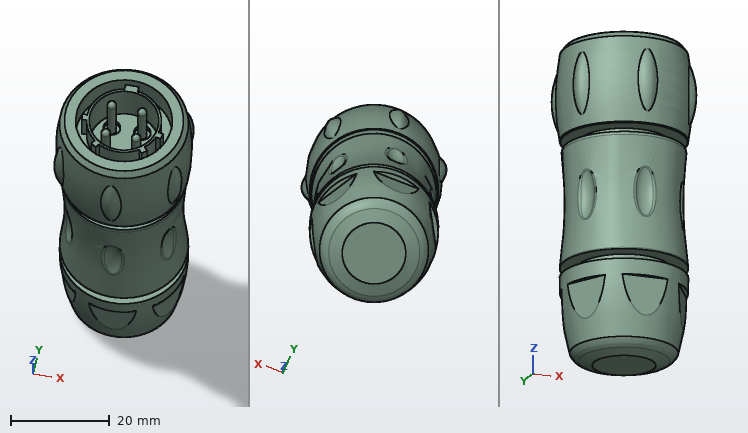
import cadquery as cq
import math

nut_cone_top = 0.9
nut_round_top = 2.55
nut_flat_top = 15.2
nut_top = 18.5
body_bottom = 20.55
body_top = 45.65
ring_bottom = 47.45
ring_top = 67.1
long_pin_top = 68.0
short_pin_top = ring_top + 0.15

nut_end_radius = 6.43
nut_cone_radius = 9.2
nut_side_radius = 13.05
nut_side_curve = 63.0
nut_flat_distance = 12.0
nut_corner_bulge = 0.15
lower_neck_radius = 9.5

body_bottom_radius = 13.0
body_top_radius = 12.65
body_waist_radius = 12.06
body_waist_z = 34.2
body_bottom_band = 0.35
body_top_chamfer_height = 0.6
body_top_chamfer_width = 0.12
upper_neck_radius = 9.18

dimple_z = 33.45
dimple_half_length = 4.95
dimple_half_width = 2.05
dimple_depth = 1.1
dimple_edge_round = 0.7
dimple_clearance = 1.5

ring_end_radius = 13.02
ring_belly_radius = 13.785
ring_belly_z = 57.0
ring_top_chamfer_height = 1.25
ring_top_chamfer_width = 1.0
ring_bottom_chamfer = 0.2
ring_bore_radius = 9.75
ring_bore_depth = 5.4

bump_z = 56.7
bump_peak_radius = 14.83
bump_curve = 16.0
bump_crest_radius = 1.8
bump_flank_slope = 42.0
bump_root_depth = 3.0
bump_half_angle = 28.0

insert_outer_radius = 7.55
insert_inner_radius = 7.03
insert_cavity_depth = 8.5
key_tip_radius = 8.52
wide_key_width = 2.74
narrow_key_width = 1.3
wide_key_angle = 90.0
narrow_key_angles = (185.0, 234.5, 310.0, 345.0)

pin_offset = 3.135
pin_radius = 0.9
pin_recess_radius = 1.73
pin_recess_depth = 1.0

grip_count = 6
grip_angles = [90.0 + i * 360.0 / grip_count for i in range(grip_count)]


def cylinder(radius, bottom, top):
    return cq.Workplane("XY").workplane(offset=bottom).circle(radius).extrude(top - bottom)


def around_axis(shape, angle):
    return shape.rotate((0, 0, 0), (0, 0, 1), angle)


def nut_radius(z):
    """Radius of the bulged nut side, vertical at the top of the nut."""
    drop = nut_side_curve - math.sqrt(nut_side_curve**2 - (nut_top - z) ** 2)
    return nut_side_radius - drop


def cable_nut():
    corner_radius = nut_radius(nut_round_top)
    corner_mid = (
        (nut_cone_radius + corner_radius) / 2 + nut_corner_bulge,
        (nut_cone_top + nut_round_top) / 2 - nut_corner_bulge,
    )
    side_mid_z = (nut_round_top + nut_top) / 2
    nut = (
        cq.Workplane("XZ")
        .moveTo(0, 0)
        .lineTo(nut_end_radius, 0)
        .lineTo(nut_cone_radius, nut_cone_top)
        .threePointArc(corner_mid, (corner_radius, nut_round_top))
        .threePointArc((nut_radius(side_mid_z), side_mid_z), (nut_side_radius, nut_top))
        .lineTo(0, nut_top)
        .close()
        .revolve(360, (0, 0, 0), (0, 1, 0))
    )
    hexagon = (
        cq.Workplane("XY")
        .polygon(grip_count, 2 * nut_flat_distance, circumscribed=True)
        .extrude(nut_flat_top)
    )
    hexagon = around_axis(hexagon, 180.0 / grip_count)
    outside_flats = cylinder(2 * nut_side_radius, 0, nut_flat_top).cut(hexagon)
    return nut.cut(outside_flats)


def dimple_cutter():
    """Scoop facing +X: a tube bent around an axis outside the body."""
    edge_drop = body_waist_radius - math.sqrt(body_waist_radius**2 - dimple_half_width**2)
    tube_depth = dimple_depth - edge_drop
    tube_radius = (dimple_half_width**2 + tube_depth**2) / (2 * tube_depth)
    bend_radius = (dimple_half_length**2 + dimple_depth**2) / (2 * dimple_depth)
    floor_radius = body_waist_radius - dimple_depth
    bend_axis_offset = bend_radius - tube_radius
    half_angle = math.degrees((dimple_half_length + dimple_clearance) / bend_radius)
    tube = (
        cq.Workplane("XY")
        .center(floor_radius + tube_radius, 0)
        .circle(tube_radius)
        .revolve(2 * half_angle, (bend_axis_offset, -1, 0), (bend_axis_offset, 1, 0))
    )
    bend_centre = floor_radius + bend_radius
    return tube.rotate((bend_centre, 0, 0), (bend_centre, 1, 0), -half_angle).translate((0, 0, dimple_z))


def grip_body():
    bottom_edge_z = body_bottom + body_bottom_band
    body = (
        cq.Workplane("XZ")
        .moveTo(0, body_bottom)
        .lineTo(body_bottom_radius, body_bottom)
        .lineTo(body_bottom_radius, bottom_edge_z)
        .threePointArc((body_waist_radius, body_waist_z), (body_top_radius, body_top - body_top_chamfer_height))
        .lineTo(body_top_radius - body_top_chamfer_width, body_top)
        .lineTo(0, body_top)
        .close()
        .revolve(360, (0, 0, 0), (0, 1, 0))
    )
    cutter = dimple_cutter()
    for angle in grip_angles:
        body = body.cut(around_axis(cutter, angle))
    reach = dimple_half_length + dimple_clearance
    side = 2 * body_bottom_radius
    rim_zone = cq.selectors.BoxSelector(
        (-side, -side, dimple_z - reach), (side, side, dimple_z + reach), boundingbox=True
    )
    return body.edges(rim_zone).fillet(dimple_edge_round)


def bump():
    """Bump facing +X: a rounded ridge bent along the ring's length."""
    slope = math.radians(bump_flank_slope)
    crest_half_width = bump_crest_radius * math.sin(slope)
    crest_drop = bump_crest_radius * (1 - math.cos(slope))
    root_half_width = crest_half_width + (bump_root_depth - crest_drop) / math.tan(slope)
    flank_radius = bump_peak_radius - crest_drop
    root_radius = bump_peak_radius - bump_root_depth
    bend_centre = bump_peak_radius - bump_curve
    ridge = (
        cq.Workplane("XY")
        .spline(
            [
                (root_radius, -root_half_width),
                (flank_radius, -crest_half_width),
                (bump_peak_radius, 0),
                (flank_radius, crest_half_width),
                (root_radius, root_half_width),
            ]
        )
        .close()
        .revolve(2 * bump_half_angle, (bend_centre, -1, 0), (bend_centre, 1, 0))
    )
    return ridge.rotate((bend_centre, 0, 0), (bend_centre, 1, 0), -bump_half_angle).translate((0, 0, bump_z))


def coupling_ring():
    ring = (
        cq.Workplane("XZ")
        .moveTo(0, ring_bottom)
        .lineTo(ring_end_radius - ring_bottom_chamfer, ring_bottom)
        .lineTo(ring_end_radius, ring_bottom + ring_bottom_chamfer)
        .threePointArc(
            (ring_belly_radius, ring_belly_z),
            (ring_end_radius, ring_top - ring_top_chamfer_height),
        )
        .lineTo(ring_end_radius - ring_top_chamfer_width, ring_top)
        .lineTo(0, ring_top)
        .close()
        .revolve(360, (0, 0, 0), (0, 1, 0))
    )
    raised = bump()
    for angle in grip_angles:
        ring = ring.union(around_axis(raised, angle))
    return ring.cut(cylinder(ring_bore_radius, ring_top - ring_bore_depth, ring_top))


def insert_key(width, angle):
    root_radius = (insert_inner_radius + insert_outer_radius) / 2
    key = (
        cq.Workplane("XY")
        .workplane(offset=ring_top - ring_bore_depth)
        .center((root_radius + key_tip_radius) / 2, 0)
        .rect(key_tip_radius - root_radius, width)
        .extrude(ring_bore_depth)
    )
    return around_axis(key, angle)


def contact_insert():
    insert = cylinder(insert_outer_radius, ring_top - ring_bore_depth, ring_top)
    insert = insert.union(insert_key(wide_key_width, wide_key_angle))
    for angle in narrow_key_angles:
        insert = insert.union(insert_key(narrow_key_width, angle))
    return insert


def contact_pin(x, y, bottom, top):
    shank_top = top - pin_radius
    dome = cq.Workplane("XY").sphere(pin_radius).translate((0, 0, shank_top))
    return cylinder(pin_radius, bottom, shank_top).union(dome).translate((x, y, 0))


def add_contacts(part):
    cavity_floor = ring_top - insert_cavity_depth
    recess_floor = cavity_floor - pin_recess_depth
    pin_root = recess_floor - pin_radius
    part = part.cut(cylinder(insert_inner_radius, cavity_floor, ring_top))
    for side_x in (-1, 1):
        for side_y in (-1, 1):
            x = side_x * pin_offset
            y = side_y * pin_offset
            is_long = side_x < 0 and side_y > 0
            top = long_pin_top if is_long else short_pin_top
            recess = cylinder(pin_recess_radius, recess_floor, cavity_floor).translate((x, y, 0))
            part = part.cut(recess).union(contact_pin(x, y, pin_root, top))
    return part


part = cable_nut()
part = part.union(cylinder(lower_neck_radius, nut_top, body_bottom))
part = part.union(grip_body())
part = part.union(cylinder(upper_neck_radius, body_top, ring_bottom))
part = part.union(coupling_ring())
part = part.union(contact_insert())
result = add_contacts(part)